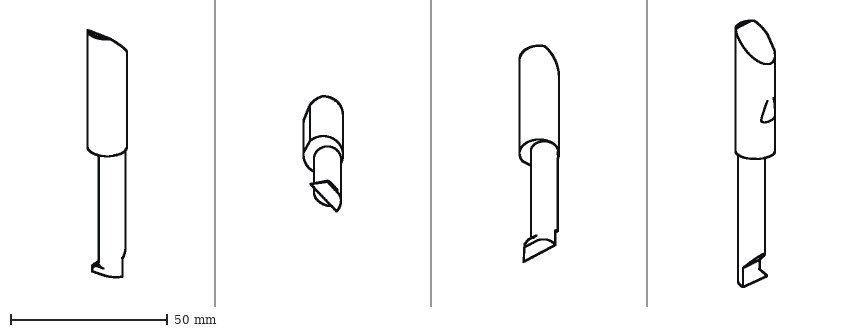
import cadquery as cq
import math

length = 88.9
shank_diameter = 12.7
shank_radius = shank_diameter / 2
shank_bottom = 45.8
shank_top_chamfer = 0.4

bevel_angle = 45.0
bevel_start_y = -4.45
flat_angle = 20.0
notch_top = 66.7
notch_bottom = 58.1
notch_depth = 1.2
notch_corner_radius = 1.1

neck_radius = 4.4
neck_center_x = shank_radius - neck_radius
neck_cut_top = 11.5

tip_x = -6.1
tip_height = 3.7
tip_nose_height = 0.3
tip_heel_x = -2.8
flank_lean = 1.1
bottom_rise_x = 0.45
bottom_rise_y = 1.0

margin = 4.45


def profile_along_x(points):
    """Extrude a closed (y, z) outline across the full width of the bar."""
    return cq.Workplane("YZ").polyline(points).close().extrude(shank_diameter, both=True)


def make_shank():
    shank = (
        cq.Workplane("XY")
        .workplane(offset=shank_bottom)
        .circle(shank_radius)
        .extrude(length - shank_bottom)
        .faces(">Z")
        .chamfer(shank_top_chamfer)
    )
    return shank.cut(make_bevel()).cut(make_side_flat()).cut(make_notch())


def make_bevel():
    bevel_run = shank_radius + margin - bevel_start_y
    bevel_drop = bevel_run * math.tan(math.radians(bevel_angle))
    end_y = bevel_start_y + bevel_run
    return profile_along_x([(bevel_start_y, length), (end_y, length), (end_y, length - bevel_drop)])


def make_side_flat():
    """Block outside a chord that starts at the -X quadrant of the shank."""
    chord_distance = shank_radius * math.cos(math.radians(flat_angle))
    return (
        cq.Workplane("XY")
        .box(shank_radius, shank_diameter, length, centered=(False, True, False))
        .translate((chord_distance, 0, 0))
        .rotate((0, 0, 0), (0, 0, 1), 180 - flat_angle)
    )


def make_notch():
    """Sloping notch in the +Y side with a rounded lower corner."""
    outside_y = shank_radius + margin
    floor_y = shank_radius - notch_depth
    corner_top = notch_bottom + notch_corner_radius
    corner_y = floor_y + notch_corner_radius
    arc_offset = notch_corner_radius * (1 - math.sqrt(0.5))
    return (
        cq.Workplane("YZ")
        .moveTo(shank_radius, notch_top)
        .lineTo(floor_y, corner_top)
        .threePointArc((floor_y + arc_offset, notch_bottom + arc_offset), (corner_y, notch_bottom))
        .lineTo(outside_y, notch_bottom)
        .lineTo(outside_y, notch_top)
        .close()
        .extrude(shank_diameter, both=True)
    )


def make_neck():
    """Cylinder tangent to the +X side of the shank, with its +Y half removed near the tip."""
    neck = cq.Workplane("XY").center(neck_center_x, 0).circle(neck_radius).extrude(shank_bottom)
    side_y = neck_radius + margin
    chip_space = profile_along_x(
        [
            (0, 0),
            (side_y, 0),
            (side_y, neck_cut_top + margin),
            (neck_radius, neck_cut_top),
            (0, neck_cut_top - neck_radius),
        ]
    )
    return neck.cut(chip_space)


def make_tip():
    """Pointed block whose rake face lies in the mid plane of the neck."""
    block = (
        cq.Workplane("XY")
        .polyline([(tip_x, 0), (tip_heel_x, -neck_radius), (neck_center_x, -neck_radius), (neck_center_x, 0)])
        .close()
        .extrude(tip_height)
    )
    shoulder_x = neck_center_x - neck_radius
    flank_envelope = (
        cq.Workplane("XZ")
        .polyline(flank_outline(shoulder_x, 0))
        .close()
        .workplane(offset=neck_radius)
        .polyline(flank_outline(shoulder_x, flank_lean))
        .close()
        .loft(ruled=True)
    )
    return block.intersect(flank_envelope)


def flank_outline(shoulder_x, shift):
    """(x, z) outline below the flank, with the flank moved toward +X by shift."""
    foot_x = tip_x + shift
    return [
        (foot_x, -margin),
        (foot_x, tip_nose_height),
        (shoulder_x + shift, tip_height),
        (shank_radius, tip_height),
        (shank_radius, -margin),
    ]


def make_bottom_relief():
    """Solid under the end face, which rises from the tip toward +X and -Y."""
    width = shank_radius - tip_x

    def end_outline(rise):
        slope = bottom_rise_y / neck_radius
        far_y = -neck_radius - margin
        return [
            (margin, rise - slope * margin),
            (far_y, rise - slope * far_y),
            (far_y, -margin),
            (margin, -margin),
        ]

    return (
        cq.Workplane("YZ", origin=(tip_x, 0, 0))
        .polyline(end_outline(0))
        .close()
        .workplane(offset=width)
        .polyline(end_outline(bottom_rise_x))
        .close()
        .loft(ruled=True)
    )


result = make_shank().union(make_neck()).union(make_tip()).cut(make_bottom_relief())